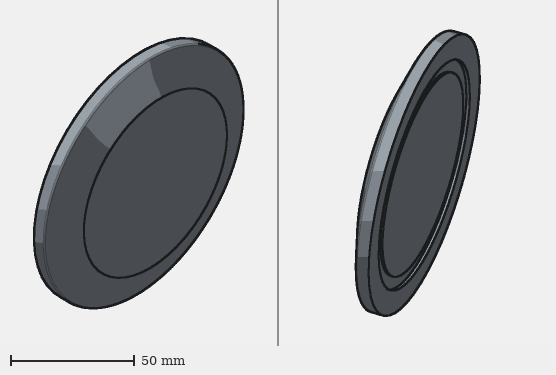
import cadquery as cq

outer_diameter = 119.0
thickness = 12.0
rim_width = 5.7
back_diameter = 85.2
edge_radius = 0.8

recess_diameter = 97.6
recess_depth = 1.5
pad_diameter = 86.4
pad_height = 1.0

profile = (
    cq.Workplane("XZ")
    .moveTo(recess_depth - pad_height, 0)
    .lineTo(recess_depth - pad_height, pad_diameter / 2)
    .lineTo(recess_depth, pad_diameter / 2)
    .lineTo(recess_depth, recess_diameter / 2)
    .lineTo(0, recess_diameter / 2)
    .lineTo(0, outer_diameter / 2)
    .lineTo(rim_width, outer_diameter / 2)
    .lineTo(thickness, back_diameter / 2)
    .lineTo(thickness, 0)
    .close()
)
blank = profile.revolve(360, (0, 0, 0), (1, 0, 0))

rim_edge = blank.faces("%CYLINDER").edges(cq.selectors.RadiusNthSelector(-1)).edges(">X")
result = rim_edge.fillet(edge_radius)